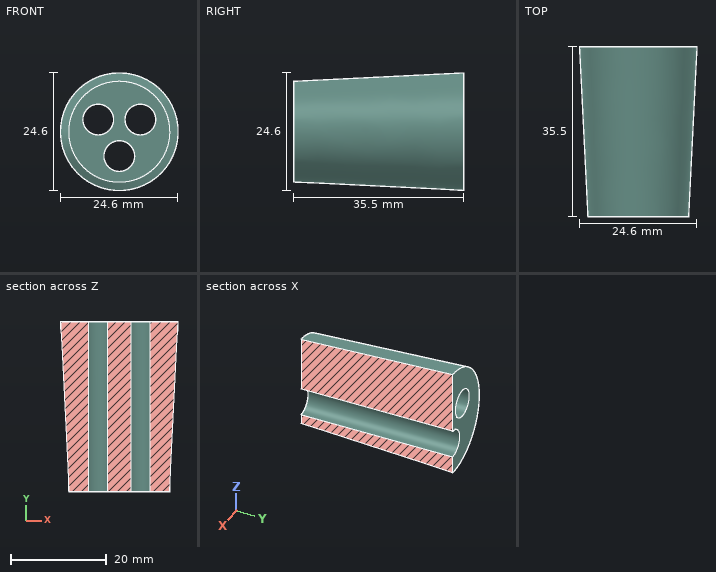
import cadquery as cq
import math

length = 35.55
large_diameter = 24.65
small_diameter = 21.12

hole_count = 3
hole_diameter = 6.35
hole_circle_radius = 5.1
first_hole_angle = -90.0


def tapered_body():
    """Solid cone frustum, widening towards +Y."""
    return cq.Workplane("XY").add(
        cq.Solid.makeCone(
            small_diameter / 2,
            large_diameter / 2,
            length,
            pnt=cq.Vector(0, 0, 0),
            dir=cq.Vector(0, 1, 0),
        )
    )


def through_hole(angle):
    """Cylinder parallel to the axis, at the given angle in degrees."""
    x = hole_circle_radius * math.cos(math.radians(angle))
    z = hole_circle_radius * math.sin(math.radians(angle))
    return cq.Workplane("XY").add(
        cq.Solid.makeCylinder(
            hole_diameter / 2,
            length,
            pnt=cq.Vector(x, 0, z),
            dir=cq.Vector(0, 1, 0),
        )
    )


result = tapered_body()
for index in range(hole_count):
    result = result.cut(through_hole(first_hole_angle + index * 360.0 / hole_count))